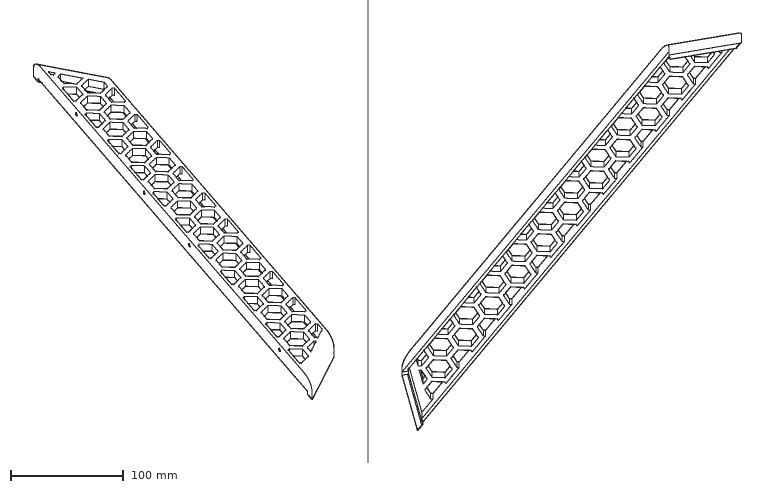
import cadquery as cq
import math

LENGTH = 531.72
DEPTH = 46.8
HEIGHT = 21.0
END_ROUND = 10.0

PLATE_THICKNESS = 8.0
SIDE_WALL = 3.0
END_WALL = 6.0

LIP_HEIGHT = 4.4
LIP_CHAMFER = 1.0

CELL_PITCH = 24.89
CELL_WALL = 4.9
GRILLE_END_MARGIN = 14.0
FIRST_COLUMN_X = -205.55
COLUMNS = range(-2, 22)
ROWS = (-1, 0, 1)

SCREW_DIAMETER = 3.0
SCREW_BELOW_TOP = 6.5
SCREW_COLUMNS = (1, 7, 11, 19)

HALF_LENGTH = LENGTH / 2
END_WALL_INSET = END_WALL / math.sqrt(2)
COLUMN_STEP = CELL_PITCH * math.sqrt(3) / 2
CELL_ACROSS_CORNERS = (CELL_PITCH - CELL_WALL) * 2 / math.sqrt(3)


def column_x(column):
    return FIRST_COLUMN_X + column * COLUMN_STEP


def trapezoid(side_margin, end_margin, height):
    """Prism on the XY plane, set in from the outer outline by the two margins."""
    y_front = side_margin
    y_back = DEPTH - side_margin
    half_base = HALF_LENGTH - end_margin * math.sqrt(2)
    outline = [
        (-half_base + y_front, y_front),
        (half_base - y_front, y_front),
        (half_base - y_back, y_back),
        (-half_base + y_back, y_back),
    ]
    return cq.Workplane("XY").polyline(outline).close().extrude(height)


def rounded_body():
    """Solid body above the lips, with its two slanted top edges rounded."""
    body = trapezoid(0, 0, HEIGHT - LIP_HEIGHT).translate((0, 0, LIP_HEIGHT))
    return body.faces(">Z").edges("not |X").fillet(END_ROUND)


def inner_cavity():
    return trapezoid(SIDE_WALL, END_WALL, HEIGHT - PLATE_THICKNESS)


def end_lip(end):
    """Lip under one end wall (end is -1 or 1), square-ended at the back, chamfered below."""
    inner_front = (end * (HALF_LENGTH - 2 * END_WALL_INSET), 0)
    inner_back = (end * (HALF_LENGTH - DEPTH - END_WALL_INSET), DEPTH - END_WALL_INSET)
    outer_front = (end * HALF_LENGTH, 0)
    outer_back = (end * (HALF_LENGTH - DEPTH), DEPTH)
    outline = [outer_front, inner_front, inner_back, outer_back]
    lip = cq.Workplane("XY").polyline(outline).close().extrude(LIP_HEIGHT)

    front_edge = cq.selectors.NearestToPointSelector((end * (HALF_LENGTH - END_WALL_INSET), 0, 0))
    inner_middle = [(front + back) / 2 for front, back in zip(inner_front, inner_back)]
    inner_edge = cq.selectors.NearestToPointSelector((*inner_middle, 0))
    return lip.edges(front_edge + inner_edge).chamfer(LIP_CHAMFER)


def honeycomb():
    """Hexagonal cells in staggered columns, clipped to the grille area."""
    centers = []
    for column in COLUMNS:
        stagger = CELL_PITCH / 4 * (-1) ** column
        for row in ROWS:
            centers.append((column_x(column), DEPTH / 2 + stagger + row * CELL_PITCH))
    cells = cq.Workplane("XY").pushPoints(centers).polygon(6, CELL_ACROSS_CORNERS).extrude(HEIGHT)
    return cells.intersect(trapezoid(SIDE_WALL, GRILLE_END_MARGIN, HEIGHT))


def screw_holes():
    centers = [(column_x(column), HEIGHT - SCREW_BELOW_TOP) for column in SCREW_COLUMNS]
    return cq.Workplane("XZ").pushPoints(centers).circle(SCREW_DIAMETER / 2).extrude(-SIDE_WALL)


shell = rounded_body().cut(inner_cavity())
for side in (-1, 1):
    shell = shell.union(end_lip(side))
result = shell.cut(honeycomb()).cut(screw_holes()).clean()